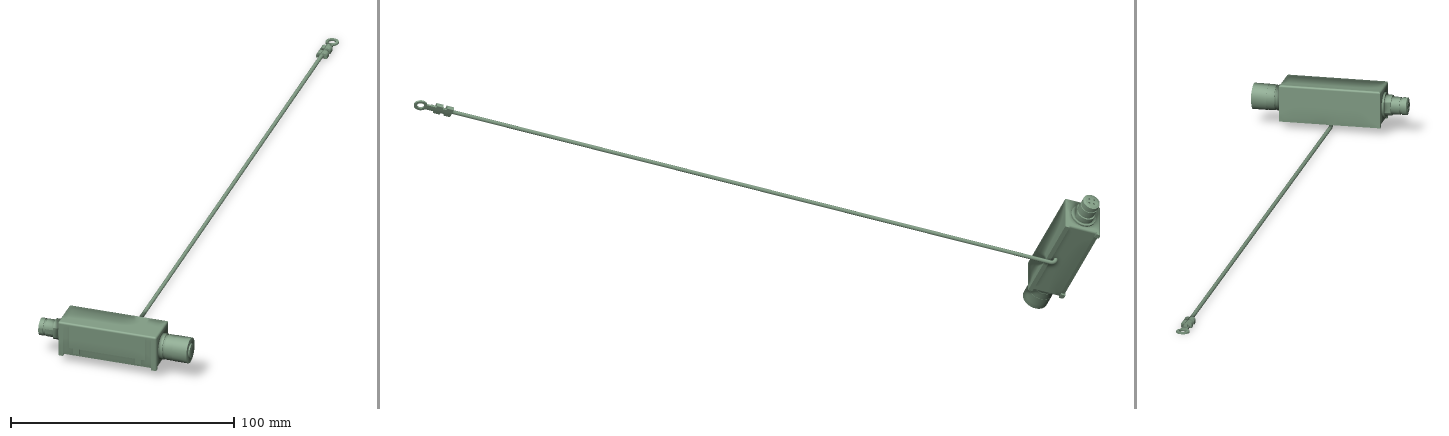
import cadquery as cq


housing_length = 46.5
housing_size = 17.0
wall = 2.1
edge_fillet = 0.9
half_length = housing_length / 2
half_size = housing_size / 2

post_width = 2.4
field_depth = 0.35
field_half_width = half_length - post_width
field_top = half_size - edge_fillet
panel_half_width = 17.9
panel_bottom = -3.9
skirt_bottom = -7.5
tab_x = 14.6
tab_width = 2.8
tab_bottom = -6.6

core_width = housing_size - 2 * wall
core_top = half_size - wall
core_bottom = -7.7

sleeve_end = -34.3
sleeve_diameter = 8.0
sleeve_bore = 6.0
sleeve_taper_length = 1.0
sleeve_taper_depth = 0.3
sleeve_groove_x = -31.9
sleeve_groove_width = 1.0
sleeve_groove_diameter = 7.3
sleeve_flat_y = -3.85
collar_end = -27.1
collar_diameter = 9.4
collar_across_flats = 8.0
flange_thickness = 0.9
flange_diameter = 11.6
contact_start_angle = 45
contact_count = 4
contact_circle = 3.2
contact_diameter = 0.9
contact_depth = 3.0

body_end = 29.8
body_neck_diameter = 11.8
body_diameter = 11.6
body_groove_x = 25.1
body_groove_width = 1.0
body_groove_diameter = 11.0
nut_end = 36.6
nut_diameter = 11.8
tip_end = 37.2
tip_diameter = 6.6

lug_underside = -11.53
lug_thickness = 0.8
crimp_floor = 0.3
cable_diameter = 1.8
cable_z = lug_underside + crimp_floor + cable_diameter / 2
cable_entry_y = 4.2
cable_bend_radius = 2.6
cable_entry_depth = 3.0
cable_end_y = 303.8

ring_diameter = 6.0
ring_hole = 3.4
lug_tip_y = 311.83
ring_y = lug_tip_y - ring_diameter / 2
shank_width = 2.9
crimp_width = 5.0
crimp_length = 3.1
crimp_starts = (293.8, 298.7)
crimp_wing = 0.5
crimp_top = cable_z + cable_diameter / 2 + crimp_wing
crimp_fillet = 1.4
crimp_seam_width = 0.5
crimp_seam_depth = 0.35


def block(x_range, y_range, z_range):
    """Box between the given limits."""
    size = [high - low for low, high in (x_range, y_range, z_range)]
    corner = (x_range[0], y_range[0], z_range[0])
    return cq.Workplane("XY").box(*size, centered=False).translate(corner)


def cylinder_x(start, end, diameter):
    """Cylinder on the connector axis."""
    return cq.Workplane("YZ").workplane(offset=start).circle(diameter / 2).extrude(end - start)


def make_cover():
    outer = cq.Workplane("XY").box(housing_length, housing_size, housing_size)
    outer = outer.edges(">Z or (|Z and <Y)").fillet(edge_fillet)
    cavity = block((-half_length, half_length), (-core_width / 2, core_width / 2), (-half_size, core_top))

    field_x = (-field_half_width, field_half_width)
    front = (-half_size, -half_size + field_depth)
    field = block(field_x, front, (-half_size, field_top))
    field = field.cut(block((-panel_half_width, panel_half_width), front, (panel_bottom, field_top)))
    for side in (-1, 1):
        centre = side * tab_x
        tab_range = (centre - tab_width / 2, centre + tab_width / 2)
        field = field.cut(block(tab_range, front, (tab_bottom, panel_bottom)))

    below_skirt = block(field_x, (-half_size, -core_width / 2), (-half_size, skirt_bottom))
    return outer.cut(cavity).cut(field).cut(below_skirt)


def make_core():
    core = block(
        (-half_length, half_length), (-core_width / 2, core_width / 2), (core_bottom, core_top)
    )
    return core.edges("|Y and <Z").fillet(edge_fillet)


def make_collar():
    flange = cylinder_x(-half_length - flange_thickness, -half_length, flange_diameter)
    across = (-collar_across_flats / 2, collar_across_flats / 2)
    height = (-collar_diameter / 2, collar_diameter / 2)
    ring = cylinder_x(collar_end, -half_length, collar_diameter)
    ring = ring.intersect(block((collar_end, -half_length), across, height))
    return ring.union(flange).cut(cylinder_x(collar_end, -half_length, sleeve_diameter))


def make_sleeve():
    sleeve = cylinder_x(sleeve_end, -half_length, sleeve_diameter)
    sleeve = sleeve.faces("<X").chamfer(sleeve_taper_depth, sleeve_taper_length)
    groove_end = sleeve_groove_x + sleeve_groove_width
    groove = cylinder_x(sleeve_groove_x, groove_end, sleeve_diameter)
    groove = groove.cut(cylinder_x(sleeve_groove_x, groove_end, sleeve_groove_diameter))
    front_flat = block(
        (sleeve_end, collar_end),
        (-sleeve_diameter / 2, sleeve_flat_y),
        (-sleeve_diameter / 2, sleeve_diameter / 2),
    )
    return sleeve.cut(groove).cut(front_flat).cut(cylinder_x(sleeve_end, -half_length, sleeve_bore))


def make_socket_insert():
    insert = cylinder_x(sleeve_end, -half_length, sleeve_bore)
    contacts = (
        cq.Workplane("YZ")
        .workplane(offset=sleeve_end)
        .polarArray(contact_circle / 2, contact_start_angle, 360, contact_count)
        .circle(contact_diameter / 2)
        .extrude(contact_depth)
    )
    return insert.cut(contacts)


def make_connector_body():
    groove_end = body_groove_x + body_groove_width
    body = cylinder_x(half_length, body_groove_x, body_neck_diameter)
    body = body.union(cylinder_x(body_groove_x, groove_end, body_groove_diameter))
    return body.union(cylinder_x(groove_end, body_end, body_diameter))


def make_nut():
    nut = cylinder_x(body_end, nut_end, nut_diameter)
    return nut.cut(cylinder_x(body_end, nut_end, tip_diameter))


def make_tip_insert():
    return cylinder_x(body_end, tip_end, tip_diameter)


def make_cable():
    bend_top = cable_z + cable_bend_radius
    path = (
        cq.Workplane("YZ")
        .moveTo(cable_end_y, cable_z)
        .lineTo(cable_entry_y + cable_bend_radius, cable_z)
        .tangentArcPoint((cable_entry_y, bend_top), relative=False)
        .lineTo(cable_entry_y, core_bottom + cable_entry_depth)
    )
    profile = cq.Workplane("XZ", origin=(0, cable_end_y, cable_z)).circle(cable_diameter / 2)
    return profile.sweep(path)


def make_lug(cable):
    plate_z = (lug_underside, lug_underside + lug_thickness)
    ring_centre = cq.Workplane("XY", origin=(0, ring_y, lug_underside))
    lug = ring_centre.circle(ring_diameter / 2).extrude(lug_thickness)
    lug = lug.union(block((-shank_width / 2, shank_width / 2), (crimp_starts[0], ring_y), plate_z))
    for start in crimp_starts:
        crimp_y = (start, start + crimp_length)
        crimp = block((-crimp_width / 2, crimp_width / 2), crimp_y, (lug_underside, crimp_top))
        crimp = crimp.edges("|Y and >Z").fillet(crimp_fillet)
        seam_x = (-crimp_seam_width / 2, crimp_seam_width / 2)
        crimp = crimp.cut(block(seam_x, crimp_y, (crimp_top - crimp_seam_depth, crimp_top)))
        lug = lug.union(crimp)
    hole = ring_centre.circle(ring_hole / 2).extrude(lug_thickness)
    return lug.cut(hole).cut(cable)


cover = make_cover()
cable = make_cable()
core = make_core().cut(cable)
collar = make_collar()
sleeve = make_sleeve()
socket_insert = make_socket_insert()
connector_body = make_connector_body()
nut = make_nut()
tip_insert = make_tip_insert()
lug = make_lug(cable)

result = cq.Compound.makeCompound([
    cover.val(),
    core.val(),
    collar.val(),
    sleeve.val(),
    socket_insert.val(),
    connector_body.val(),
    nut.val(),
    tip_insert.val(),
    cable.val(),
    lug.val(),
])